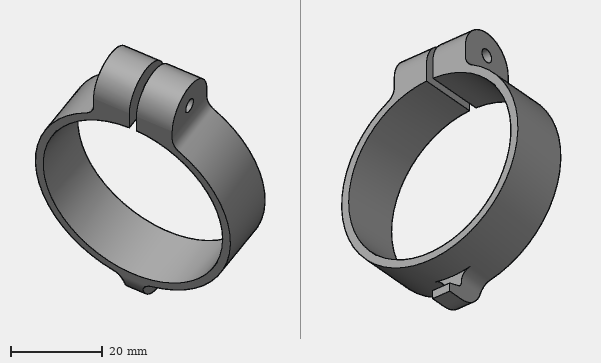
import cadquery as cq
import math

width = 15.0
outer_radius = 24.75
inner_radius = 22.75

lug_half_span = 10.0
lug_top = 34.7
lug_round_radius = width / 2
lug_round_center = lug_top - lug_round_radius
lug_fillet = 3.5
gap = 1.8
screw_diameter = 3.3
screw_height = 28.7

hook_bottom = lug_top - 66.5
hook_half_width = 2.4
hook_fillet = 3.0
hook_front = -width / 2
hook_inner_face = -0.5
hook_tip = 3.5
hook_tip_height = 2.1
hook_slope_rise = 1.2
hook_outer_radius = 7.0
hook_inner_radius = 1.3


def along_y(sketch):
    """Extrude an XZ outline over the full ring width, centred on Y."""
    return sketch.extrude(width / 2, both=True)


def flared_neck(half_width, fillet, end, side):
    """Radial neck with concave fillets tangent to the ring; side is +1 up, -1 down."""
    center_x = half_width + fillet
    center_z = math.sqrt((outer_radius + fillet) ** 2 - center_x ** 2)
    contact_x = center_x * outer_radius / (outer_radius + fillet)
    contact_z = center_z * outer_radius / (outer_radius + fillet)
    mid_angle = (math.pi + math.atan2(-center_z, -center_x) + 2 * math.pi) / 2
    mid_x = center_x + fillet * math.cos(mid_angle)
    mid_z = center_z + fillet * math.sin(mid_angle)
    outline = (
        cq.Workplane("XZ")
        .moveTo(0, 0)
        .lineTo(contact_x, side * contact_z)
        .threePointArc((mid_x, side * mid_z), (half_width, side * center_z))
        .lineTo(half_width, end)
        .lineTo(-half_width, end)
        .lineTo(-half_width, side * center_z)
        .threePointArc((-mid_x, side * mid_z), (-contact_x, side * contact_z))
        .close()
    )
    return along_y(outline)


def lugs():
    """Lug block with a rounded top, before the gap is cut."""
    neck = flared_neck(lug_half_span, lug_fillet, lug_top, 1)
    side_profile = (
        cq.Workplane("YZ")
        .moveTo(-width / 2, 0)
        .lineTo(-width / 2, lug_round_center)
        .threePointArc((0, lug_top), (width / 2, lug_round_center))
        .lineTo(width / 2, 0)
        .close()
        .extrude(outer_radius, both=True)
    )
    return neck.intersect(side_profile)


def hook():
    """Curved hook whose tip points toward +Y."""
    neck = flared_neck(hook_half_width, hook_fillet, hook_bottom, -1)
    tip_top = hook_bottom + hook_tip_height
    side_profile = (
        cq.Workplane("YZ")
        .moveTo(hook_front, 0)
        .lineTo(hook_front, hook_bottom + hook_outer_radius)
        .radiusArc((hook_front + hook_outer_radius, hook_bottom), -hook_outer_radius)
        .lineTo(hook_tip, hook_bottom)
        .lineTo(hook_tip, tip_top)
        .lineTo(hook_inner_face, tip_top + hook_slope_rise)
        .lineTo(hook_inner_face, 0)
        .close()
        .extrude(outer_radius, both=True)
    )
    inner_corner = cq.selectors.NearestToPointSelector((0, hook_inner_face, tip_top + hook_slope_rise))
    side_profile = side_profile.edges("|X").edges(inner_corner).fillet(hook_inner_radius)
    return neck.intersect(side_profile)


ring = along_y(cq.Workplane("XZ").circle(outer_radius))
bore = along_y(cq.Workplane("XZ").circle(inner_radius))
split = cq.Workplane("XY").box(gap, width, lug_top, centered=(True, True, False))
screw_hole = (
    cq.Workplane("YZ")
    .center(0, screw_height)
    .circle(screw_diameter / 2)
    .extrude(lug_half_span, both=True)
)

result = ring.union(lugs()).union(hook()).cut(bore).cut(split).cut(screw_hole)